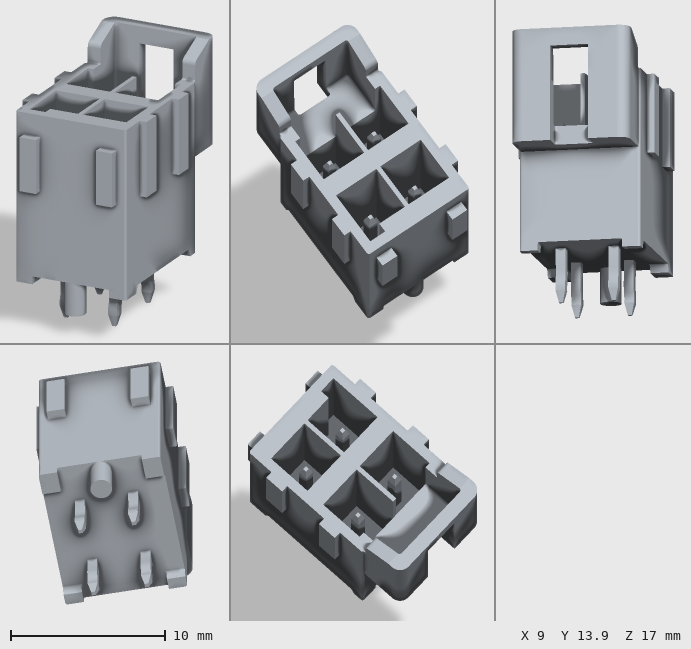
import cadquery as cq
import math

total_height = 17.0
body_top = 14.79
body_bottom = 3.03
recess_ceiling = 3.57
rib_bottom = 9.59
pad_top = 13.31
peg_bottom = 1.3

body_width = 8.0
body_depth = 10.0
body_corner_radius = 0.17

overall_width = 9.0
rib_width = 1.4
rib_front_sides = (1.99, 6.61)
pad_width = 1.17
pad_projection = 0.68
pad_root_depth = 0.17
pad_outer_x = 3.35

shroud_width = 7.79
shroud_back = body_depth + 3.23
shroud_front = body_depth + 0.15
shroud_corner_radius = 0.75
shroud_flat_top = 1.09
shroud_slope_drop = 0.88
shroud_shoulder_radius = 0.42
shroud_root_radius = 0.1

pocket_width = 5.92
pocket_floor = 10.81
pocket_back_at_top = shroud_back - 0.94
pocket_draft_degrees = 1.0
pocket_edge_radius = 0.19

window_width = 2.52
window_top = total_height - 1.17
window_front = shroud_back - 1.55
window_corner_radius = 0.15

column_pitch = 3.5
row_ys = (2.95, 7.53)
cavity_size = 3.2
cavity_half = cavity_size / 2
cavity_outer_x = 3.35
cavity_floor = 5.95
cavity_center_x = cavity_outer_x - cavity_half
key_width = 1.17
key_depth = 0.66

pin_size = 0.65
pin_tip_size = 0.25
pin_taper_length = 0.8
pin_top = 11.9
tail_bends = (
    (0.0, 2.72, 0.27),
    (-0.07, 1.75, 0.34),
    (0.14, 1.17, 0.24),
)
tail_tip_offset = 0.1

recess_width = 5.58
recess_corner_radius = 0.1
side_recess_front = 1.48
side_recess_back = 9.23
side_recess_slant = 0.24
peg_diameter = 1.4

column_xs = (-column_pitch / 2, column_pitch / 2)
pocket_front = row_ys[1] + cavity_half


def block(x_range, y_range, z_range):
    """Axis-aligned box between pairs of limits."""
    (x0, x1), (y0, y1), (z0, z1) = x_range, y_range, z_range
    return cq.Workplane("XY").box(x1 - x0, y1 - y0, z1 - z0, centered=False).translate((x0, y0, z0))


def centered_block(width, y_range, z_range):
    """Box centred on X = 0."""
    return block((-width / 2, width / 2), y_range, z_range)


def side_profile(points, width):
    """Closed (y, z) outline extruded along X, centred on X = 0."""
    return cq.Workplane("YZ").polyline(points).close().extrude(width / 2, both=True)


def make_body():
    body = centered_block(body_width, (0, body_depth), (body_bottom, body_top))
    return body.edges("|Z").fillet(body_corner_radius)


def make_ribs():
    ribs = cq.Workplane("XY")
    for y in rib_front_sides:
        ribs = ribs.union(centered_block(overall_width, (y, y + rib_width), (rib_bottom, body_top)))
    return ribs


def make_pads():
    pad = block(
        (pad_outer_x - pad_width, pad_outer_x), (-pad_projection, pad_root_depth), (rib_bottom, pad_top)
    )
    return pad.union(pad.mirror("YZ"))


def make_shroud():
    root_y = shroud_front - shroud_root_radius
    shoulder_z = total_height - shroud_slope_drop
    profile = (
        cq.Workplane("YZ")
        .moveTo(pocket_front, rib_bottom)
        .lineTo(shroud_back, rib_bottom)
        .lineTo(shroud_back, total_height)
        .lineTo(shroud_back - shroud_flat_top, total_height)
        .lineTo(shroud_front, shoulder_z)
        .lineTo(shroud_front, body_top + shroud_root_radius)
        .radiusArc((root_y, body_top), shroud_root_radius)
        .lineTo(pocket_front, body_top)
        .close()
    )
    shroud = profile.extrude(shroud_width / 2, both=True)
    shroud = shroud.faces(">Y").edges("|Z").fillet(shroud_corner_radius)
    shoulder = cq.selectors.NearestToPointSelector((0, shroud_front, shoulder_z))
    return shroud.edges("|X").edges(shoulder).fillet(shroud_shoulder_radius)


def make_pocket():
    """Finger space inside the shroud, with a drafted back wall and rounded corners."""
    draft = (total_height - pocket_floor) * math.tan(math.radians(pocket_draft_degrees))
    pocket = side_profile(
        [
            (pocket_front, pocket_floor),
            (pocket_back_at_top - draft, pocket_floor),
            (pocket_back_at_top, total_height),
            (pocket_front, total_height),
        ],
        pocket_width,
    )
    return pocket.edges("not(<Y or >Z)").fillet(pocket_edge_radius)


def make_window():
    """Latch window, running down through the shroud floor."""
    window = centered_block(window_width, (window_front, shroud_back), (rib_bottom, window_top))
    return window.faces("<Y").edges("|Z").fillet(window_corner_radius)


def make_cavities():
    cavities = cq.Workplane("XY")
    for y in row_ys:
        for x in (-cavity_center_x, cavity_center_x):
            cavities = cavities.union(
                block(
                    (x - cavity_half, x + cavity_half),
                    (y - cavity_half, y + cavity_half),
                    (cavity_floor, body_top),
                )
            )
    key_back = row_ys[0]
    key_front = key_back - cavity_half - key_depth
    key = block(
        (-cavity_outer_x, key_width - cavity_outer_x), (key_front, key_back), (cavity_floor, body_top)
    )
    return cavities.union(key)


def make_front_recess():
    """Channel under the body, open at the front and back."""
    recess = centered_block(recess_width, (0, body_depth), (body_bottom, recess_ceiling))
    return recess.faces(">Z").edges("|Y").fillet(recess_corner_radius)


def make_side_recess():
    """Slant-ended channel under the body, open at both sides."""
    recess = side_profile(
        [
            (side_recess_front, body_bottom),
            (side_recess_back, body_bottom),
            (side_recess_back - side_recess_slant, recess_ceiling),
            (side_recess_front + side_recess_slant, recess_ceiling),
        ],
        body_width,
    )
    return recess.faces(">Z").edges("|X").fillet(recess_corner_radius)


def pyramid_tip(y_offset, base_z, tip_z):
    """Four-sided taper from the full pin section to its blunt tip."""
    return (
        cq.Workplane("XY", origin=(0, y_offset, base_z))
        .rect(pin_size, pin_size)
        .workplane(offset=tip_z - base_z)
        .rect(pin_tip_size, pin_tip_size)
        .loft()
    )


def point_toward(start, target, distance):
    """Point at a distance from start on the way to target."""
    fraction = distance / math.dist(start, target)
    return tuple(a + fraction * (b - a) for a, b in zip(start, target))


def add_bent_edge(outline, start, bends, end):
    """Continue an outline from start to end through bends given as (corner, arc reach)."""
    corners = [start] + [corner for corner, _ in bends] + [end]
    for previous, (corner, reach), following in zip(corners, bends, corners[2:]):
        outline = outline.lineTo(*point_toward(corner, previous, reach))
        outline = outline.tangentArcPoint(point_toward(corner, following, reach), relative=False)
    return outline.lineTo(*end)


def make_terminal():
    """Square pin with a kinked solder tail, standing on X = Y = 0."""
    half = pin_size / 2
    shoulder_z = pin_top - pin_taper_length
    back_bends = [((y + half, z), reach) for y, z, reach in tail_bends]
    front_bends = [((y - half, z), reach) for y, z, reach in reversed(tail_bends)]
    outline = cq.Workplane("YZ").moveTo(half, shoulder_z)
    tail_back = (tail_tip_offset + half, pin_taper_length)
    outline = add_bent_edge(outline, (half, shoulder_z), back_bends, tail_back)
    tail_front = (tail_tip_offset - half, pin_taper_length)
    outline = outline.lineTo(*tail_front)
    outline = add_bent_edge(outline, tail_front, front_bends, (-half, shoulder_z))
    pin = outline.close().extrude(half, both=True)
    pin = pin.union(pyramid_tip(0, shoulder_z, pin_top))
    return pin.union(pyramid_tip(tail_tip_offset, pin_taper_length, 0))


def make_terminals():
    """The tails of the two rows swing away from each other."""
    back_terminal = make_terminal()
    front_terminal = back_terminal.mirror("XZ")
    terminals = cq.Workplane("XY")
    for y, terminal in zip(row_ys, (front_terminal, back_terminal)):
        for x in column_xs:
            terminals = terminals.union(terminal.translate((x, y, 0)))
    return terminals


def make_peg():
    radius = peg_diameter / 2
    peg = cq.Workplane("XY", origin=(0, radius, peg_bottom))
    return peg.circle(radius).extrude(recess_ceiling - peg_bottom)


housing = make_body().union(make_ribs()).union(make_pads()).union(make_shroud())
housing = housing.cut(make_pocket()).cut(make_window()).cut(make_cavities())
housing = housing.cut(make_front_recess()).cut(make_side_recess())
result = housing.union(make_peg()).union(make_terminals())